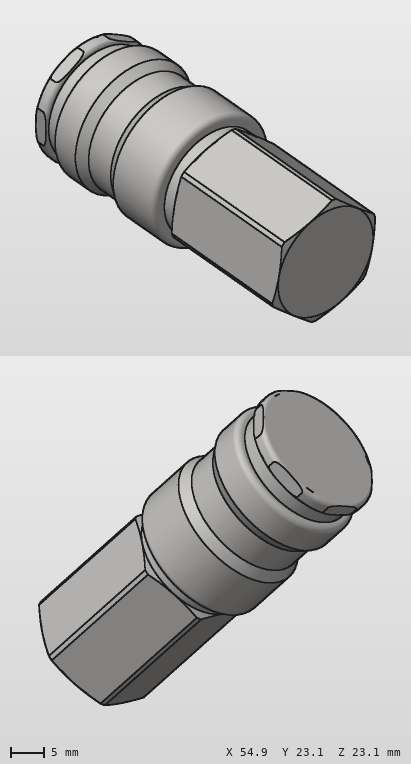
import cadquery as cq
import math

FLANGE_WIDTH = 2.5
SLEEVE_START = 5.15
SLEEVE_END = 28.6
HEX_START = 30.75
TOTAL_LENGTH = 54.85

FLANGE_DIAMETER = 21.95
FLANGE_ACROSS_FLATS = 21.0
FLANGE_FILLET = 0.75
FRONT_NECK_DIAMETER = 20.1
SHAFT_DIAMETER = 18.9
HEX_ACROSS_FLATS = 19.0
HEX_CORNER_DIAMETER = 21.45
HEX_CHAMFER_LENGTH = 0.45
HEX_TURN = -11.0

SLEEVE_DIAMETER = 23.15
SLEEVE_FILLET = 1.0
WAIST_DIAMETER = 21.0
WAIST_START = 12.3
WAIST_END = 17.4
WAIST_CONE_LENGTH = 1.8


def cylinder(diameter, start, end):
    """Solid cylinder along X between two stations."""
    return cq.Workplane("YZ", origin=(start, 0, 0)).circle(diameter / 2).extrude(end - start)


def hexagon(across_flats, start, end):
    """Hexagonal bar along X with one pair of flats facing -Y and +Y."""
    half_side_angle = 180 / 6
    corner_circle = across_flats / math.cos(math.radians(half_side_angle))
    return (
        cq.Workplane("YZ", origin=(start, 0, 0))
        .transformed(rotate=(0, 0, half_side_angle))
        .polygon(6, corner_circle)
        .extrude(end - start)
    )


def make_flange():
    """Disc with rounded rims and six flats."""
    disc = cylinder(FLANGE_DIAMETER, 0, FLANGE_WIDTH).edges("%CIRCLE").fillet(FLANGE_FILLET)
    return disc.intersect(hexagon(FLANGE_ACROSS_FLATS, 0, FLANGE_WIDTH))


def make_hex_end():
    """Hexagonal end with its corners turned down and chamfered at both ends."""
    chamfer_depth = (HEX_CORNER_DIAMETER - SHAFT_DIAMETER) / 2
    envelope = (
        cylinder(HEX_CORNER_DIAMETER, HEX_START, TOTAL_LENGTH)
        .faces("<X")
        .chamfer(HEX_CHAMFER_LENGTH, chamfer_depth)
        .faces(">X")
        .chamfer(HEX_CHAMFER_LENGTH, chamfer_depth)
    )
    bar = hexagon(HEX_ACROSS_FLATS, HEX_START, TOTAL_LENGTH)
    return bar.rotate((0, 0, 0), (1, 0, 0), HEX_TURN).intersect(envelope)


def make_core():
    """One-piece core that carries the sleeve on its shaft."""
    front_neck = cylinder(FRONT_NECK_DIAMETER, FLANGE_WIDTH, SLEEVE_START)
    shaft = cylinder(SHAFT_DIAMETER, SLEEVE_START, HEX_START)
    return make_flange().union(front_neck).union(shaft).union(make_hex_end())


def make_sleeve():
    """Waisted grip sleeve with rounded outer ends, bored to fit the shaft."""
    bore_radius = SHAFT_DIAMETER / 2
    outer_radius = SLEEVE_DIAMETER / 2
    waist_radius = WAIST_DIAMETER / 2
    blank = (
        cq.Workplane("XY")
        .moveTo(SLEEVE_START, bore_radius)
        .lineTo(SLEEVE_START, outer_radius)
        .lineTo(WAIST_START - WAIST_CONE_LENGTH, outer_radius)
        .lineTo(WAIST_START, waist_radius)
        .lineTo(WAIST_END, waist_radius)
        .lineTo(WAIST_END + WAIST_CONE_LENGTH, outer_radius)
        .lineTo(SLEEVE_END, outer_radius)
        .lineTo(SLEEVE_END, bore_radius)
        .close()
        .revolve(360, (0, 0, 0), (1, 0, 0))
    )
    outer_rims = cq.selectors.RadiusNthSelector(-1)
    return (
        blank.faces("<X").edges(outer_rims).fillet(SLEEVE_FILLET)
        .faces(">X").edges(outer_rims).fillet(SLEEVE_FILLET)
    )


core = make_core()
sleeve = make_sleeve()

result = cq.Compound.makeCompound([core.val(), sleeve.val()])